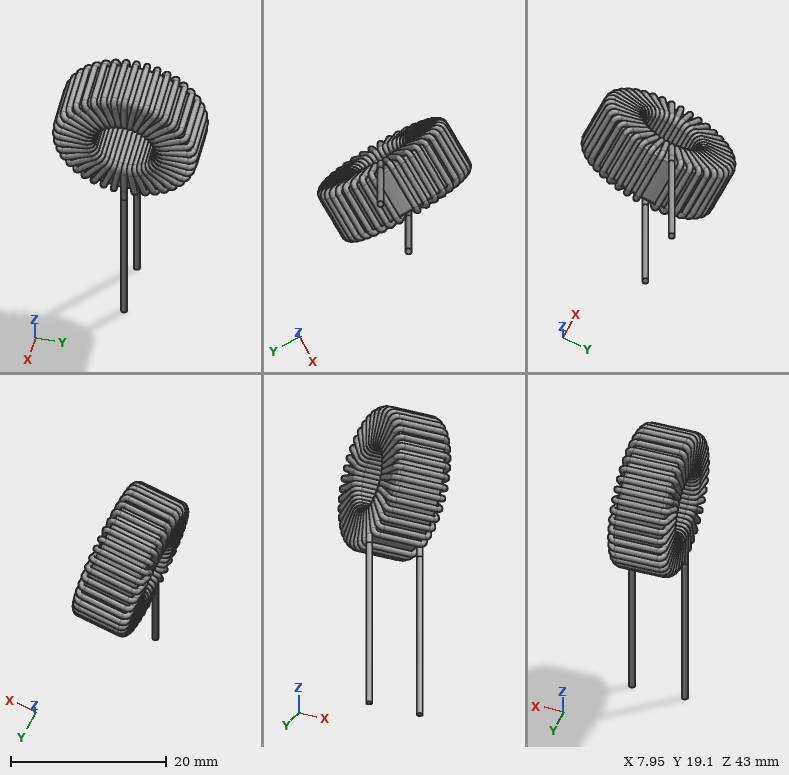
import cadquery as cq
import math

CORE_OUTER_DIAMETER = 17.5
CORE_BORE_DIAMETER = 9.4
CORE_WIDTH = 6.35
CORE_ROUNDING = 0.3

WIRE_RADIUS = 0.4
TURN_POSITIONS = 40
TURN_PITCH_ANGLE = 360 / TURN_POSITIONS

LEFT_JOINT_DEPTH = 9.8
RIGHT_JOINT_DEPTH = 10.2

TOTAL_HEIGHT = 43.0

OUTER_RUN_RADIUS = CORE_OUTER_DIAMETER / 2 + WIRE_RADIUS
INNER_RUN_RADIUS = CORE_BORE_DIAMETER / 2 - WIRE_RADIUS
SIDE_RUN_X = CORE_WIDTH / 2 + WIRE_RADIUS
BEND_RADIUS = CORE_ROUNDING + WIRE_RADIUS
BEND_START_X = SIDE_RUN_X - BEND_RADIUS
OUTER_BEND_START = OUTER_RUN_RADIUS - BEND_RADIUS
INNER_BEND_START = INNER_RUN_RADIUS + BEND_RADIUS

LEAD_TIP_DEPTH = TOTAL_HEIGHT - OUTER_RUN_RADIUS - WIRE_RADIUS


def make_core():
    """Ring along X with all four circular edges rounded."""
    ring = (
        cq.Workplane("YZ", origin=(-CORE_WIDTH / 2, 0, 0))
        .circle(CORE_OUTER_DIAMETER / 2)
        .circle(CORE_BORE_DIAMETER / 2)
        .extrude(CORE_WIDTH)
    )
    return ring.edges("%CIRCLE").fillet(CORE_ROUNDING).val()


def merged(pieces):
    """Joins touching or overlapping pieces into one solid."""
    return pieces[0].fuse(*pieces[1:]).Solids()[0]


def straight_wire(start, end):
    """Round wire from one centreline point to another."""
    axis = cq.Vector(*end) - cq.Vector(*start)
    return cq.Solid.makeCylinder(WIRE_RADIUS, axis.Length, cq.Vector(*start), axis)


def bend(center_x, center_z, x_sign, z_sign):
    """Quarter-circle wire bend in the XZ plane, bulging toward the given signs."""
    start = (center_x, center_z + z_sign * BEND_RADIUS)
    diagonal = BEND_RADIUS * math.sqrt(0.5)
    middle = (center_x + x_sign * diagonal, center_z + z_sign * diagonal)
    end = (center_x + x_sign * BEND_RADIUS, center_z)
    path = cq.Workplane("XZ").moveTo(*start).threePointArc(middle, end)
    profile = cq.Workplane("YZ", origin=(start[0], 0, start[1])).circle(WIRE_RADIUS)
    return profile.sweep(path).val()


def inner_half_turn():
    """Pieces of a top turn's bore side: the run through the bore and its two bends."""
    run = straight_wire((-BEND_START_X, 0, INNER_RUN_RADIUS), (BEND_START_X, 0, INNER_RUN_RADIUS))
    bends = [bend(side * BEND_START_X, INNER_BEND_START, side, -1) for side in (-1, 1)]
    return [run, *bends]


def closed_turn():
    """One rounded-rectangle turn at the top of the core."""
    outer_run = straight_wire((-BEND_START_X, 0, OUTER_RUN_RADIUS), (BEND_START_X, 0, OUTER_RUN_RADIUS))
    pieces = [*inner_half_turn(), outer_run]
    for side in (-1, 1):
        x = side * SIDE_RUN_X
        pieces.append(straight_wire((x, 0, INNER_BEND_START), (x, 0, OUTER_BEND_START)))
        pieces.append(bend(side * BEND_START_X, OUTER_BEND_START, side, 1))
    return merged(pieces)


def rotated(solid, angle):
    """Copy of a solid turned about the core axis."""
    return solid.rotate(cq.Vector(0, 0, 0), cq.Vector(1, 0, 0), angle)


def open_turn():
    """The lowest turn: its sides run straight down to the lead joints."""
    pieces = [rotated(piece, 180) for piece in inner_half_turn()]
    for x, depth in ((-SIDE_RUN_X, LEFT_JOINT_DEPTH), (SIDE_RUN_X, RIGHT_JOINT_DEPTH)):
        pieces.append(straight_wire((x, 0, -INNER_BEND_START), (x, 0, -OUTER_BEND_START)))
        pieces.append(straight_wire((x, 0, -OUTER_BEND_START), (x, 0, -depth)))
    return merged(pieces)


def make_winding():
    """All turns merged into one solid; neighbouring turns crowd together in the bore."""
    turn = closed_turn()
    angles = [180 + index * TURN_PITCH_ANGLE for index in range(1, TURN_POSITIONS)]
    return merged([open_turn(), *(rotated(turn, angle) for angle in angles)])


def make_lead(x, joint_depth):
    """Straight lead from its joint with the winding down to the tip."""
    return straight_wire((x, 0, -joint_depth), (x, 0, -LEAD_TIP_DEPTH))


core = make_core()
winding = make_winding()
left_lead = make_lead(-SIDE_RUN_X, LEFT_JOINT_DEPTH)
right_lead = make_lead(SIDE_RUN_X, RIGHT_JOINT_DEPTH)

result = cq.Compound.makeCompound([core, winding, left_lead, right_lead])